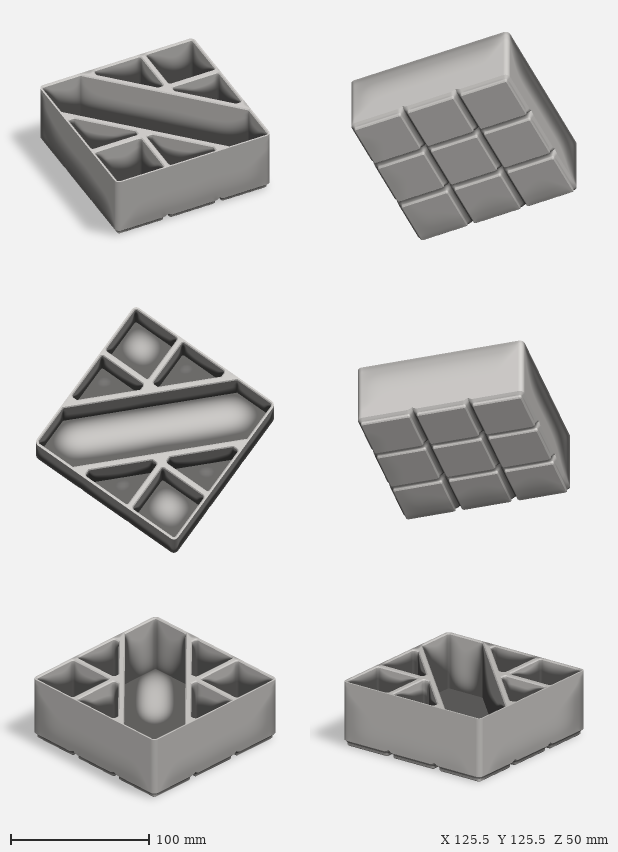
import cadquery as cq

side = 125.5
height = 50.0
body_radius = 3.8
floor_height = 7.0

cells_per_side = 3
foot_gap = 0.5
cell_pitch = (side + foot_gap) / cells_per_side
foot_side = cell_pitch - foot_gap

foot_chamfer = 0.8
foot_straight = 1.8
foot_flare = 2.1
flare_extension = 2.0
feet_height = foot_chamfer + foot_straight + foot_flare + flare_extension

rim_chamfer = 0.82
wall = 4.5
pocket_side = cell_pitch - wall
cavity_side = (cells_per_side - 1) * cell_pitch + pocket_side
pocket_radius = 1.6
pocket_depth = height - floor_height
channel_width = 43.9
divider_width = channel_width + 2 * wall
band_length = 2 * side


def cell_centre(index):
    return (index - (cells_per_side - 1) / 2) * cell_pitch


def rounded_block(width, radius, bottom, block_height):
    block = cq.Workplane("XY").workplane(offset=bottom).rect(width, width).extrude(block_height)
    return block.edges("|Z").fillet(radius)


def flared_block(width, radius, bottom, flare_height):
    """Rounded square that grows outward at 45 degrees as it rises."""
    outline = cq.Sketch().rect(width, width).vertices().fillet(radius)
    return cq.Workplane("XY").workplane(offset=bottom).placeSketch(outline).extrude(flare_height, taper=-45)


def make_foot():
    waist_side = foot_side - 2 * foot_flare
    waist_radius = body_radius - foot_flare
    bottom_side = waist_side - 2 * foot_chamfer
    bottom_radius = waist_radius - foot_chamfer
    flare_bottom = foot_chamfer + foot_straight
    base = flared_block(bottom_side, bottom_radius, 0, foot_chamfer)
    waist = rounded_block(waist_side, waist_radius, foot_chamfer, foot_straight)
    flare = flared_block(waist_side, waist_radius, flare_bottom, foot_flare + flare_extension)
    return base.union(waist).union(flare)


def make_body():
    foot = make_foot()
    body = rounded_block(side, body_radius, feet_height, height - feet_height)
    envelope = rounded_block(side, body_radius, 0, feet_height)
    for column in range(cells_per_side):
        for row in range(cells_per_side):
            placed_foot = foot.translate((cell_centre(column), cell_centre(row), 0))
            body = body.union(placed_foot.intersect(envelope))
    return body


def diagonal_band(width):
    """Vertical slab along the X = Y diagonal."""
    band = cq.Workplane("XY").workplane(offset=floor_height).rect(band_length, width).extrude(pocket_depth)
    return band.rotate((0, 0, 0), (0, 0, 1), 45)


def cut_channel(body):
    cavity = rounded_block(cavity_side, pocket_radius, floor_height, pocket_depth)
    return body.cut(cavity.intersect(diagonal_band(channel_width)))


def cut_small_pockets(body):
    """One pocket in every cell off the diagonal, trimmed clear of the channel."""
    pocket = rounded_block(pocket_side, pocket_radius, floor_height, pocket_depth)
    divider = diagonal_band(divider_width)
    for column in range(cells_per_side):
        for row in range(cells_per_side):
            if column != row:
                placed_pocket = pocket.translate((cell_centre(column), cell_centre(row), 0))
                body = body.cut(placed_pocket.cut(divider))
    return body


def chamfer_openings(body):
    rim = body.faces(">Z").val()
    opening_edges = [edge for wire in rim.innerWires() for edge in wire.Edges()]
    return body.newObject(opening_edges).chamfer(rim_chamfer)


result = chamfer_openings(cut_small_pockets(cut_channel(make_body())))